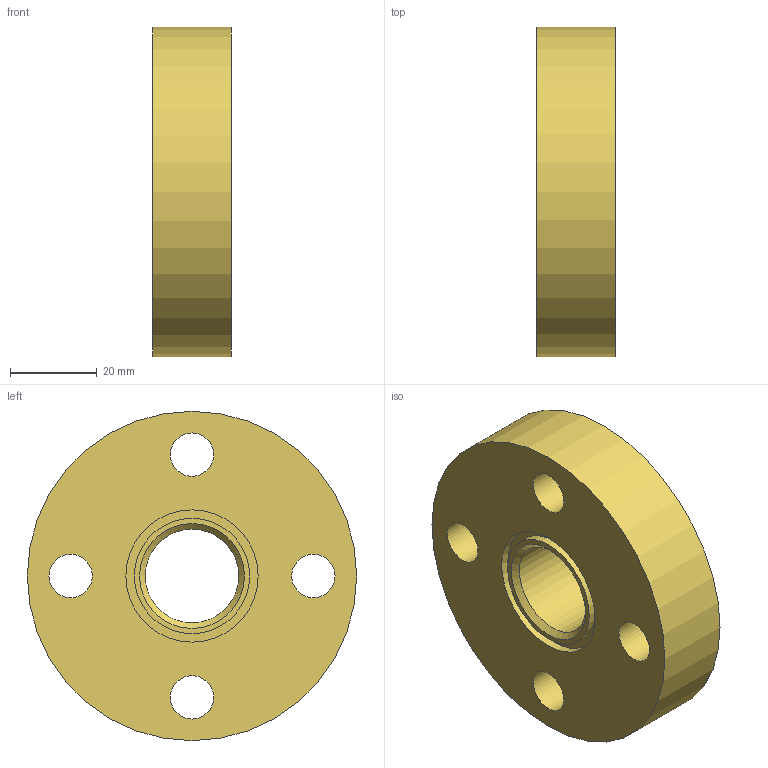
import cadquery as cq

flange_diameter = 76.0
flange_thickness = 18.0

bore_diameter = 21.6
bore_chamfer = 1.3

groove_outer_diameter = 30.5
groove_inner_diameter = 26.6
groove_depth = 2.0

bolt_hole_count = 4
bolt_hole_diameter = 10.0
bolt_circle_diameter = 56.0

front_face_x = -flange_thickness / 2


def front_plane():
    """Workplane on the -X face, with its normal pointing into the flange."""
    return cq.Workplane("YZ", origin=(front_face_x, 0, 0))


def make_disc():
    return front_plane().circle(flange_diameter / 2).extrude(flange_thickness)


def make_bore():
    return front_plane().circle(bore_diameter / 2).extrude(flange_thickness)


def make_bore_chamfer():
    """Cone frustum that bevels the bore mouth on the -X face."""
    bore_radius = bore_diameter / 2
    cone = cq.Solid.makeCone(
        bore_radius + bore_chamfer,
        bore_radius,
        bore_chamfer,
        pnt=cq.Vector(front_face_x, 0, 0),
        dir=cq.Vector(1, 0, 0),
    )
    return cq.Workplane(cone)


def make_groove():
    return (
        front_plane()
        .circle(groove_outer_diameter / 2)
        .circle(groove_inner_diameter / 2)
        .extrude(groove_depth)
    )


def make_bolt_holes():
    return (
        front_plane()
        .polarArray(bolt_circle_diameter / 2, 0, 360, bolt_hole_count)
        .circle(bolt_hole_diameter / 2)
        .extrude(flange_thickness)
    )


result = (
    make_disc()
    .cut(make_bore())
    .cut(make_bore_chamfer())
    .cut(make_groove())
    .cut(make_bolt_holes())
)